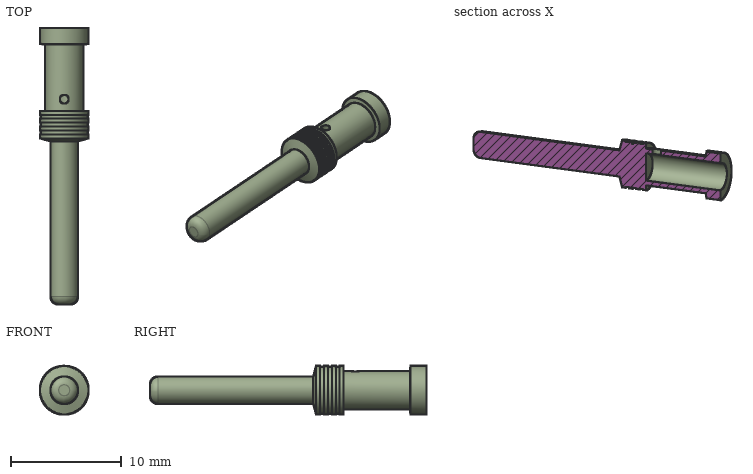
import cadquery as cq

length = 25.0
rear_y = length / 2
tip_y = -length / 2

flange_radius = 4.42 / 2
barrel_radius = 1.75
pin_radius = 1.25
tip_round = 0.75

head_length = 1.45
head_face_slope = 0.08

collar_start = 7.5
collar_straight_end = 9.98
collar_end = 10.25

groove_count = 3
band_width = (collar_straight_end - collar_start) / (2 * groove_count + 1)
groove_depth = 0.08

hole_diameter = 0.8
hole_distance = 6.45
bore_radius = 1.25
bore_depth = 7.5


def turned_body():
    """Revolve the half outline of the contact about the Y axis."""
    profile = (
        cq.Workplane("XY")
        .moveTo(0, rear_y)
        .lineTo(flange_radius, rear_y)
        .lineTo(flange_radius, rear_y - head_length)
        .lineTo(barrel_radius, rear_y - head_length - head_face_slope)
        .lineTo(barrel_radius, rear_y - collar_start)
        .lineTo(flange_radius, rear_y - collar_start)
    )
    for index in range(groove_count):
        groove_start = rear_y - collar_start - (2 * index + 1) * band_width
        groove_end = groove_start - band_width
        profile = (
            profile.lineTo(flange_radius, groove_start)
            .lineTo(flange_radius - groove_depth, groove_start)
            .lineTo(flange_radius - groove_depth, groove_end)
            .lineTo(flange_radius, groove_end)
        )
    profile = (
        profile.lineTo(flange_radius, rear_y - collar_straight_end)
        .lineTo(pin_radius, rear_y - collar_end)
        .lineTo(pin_radius, tip_y)
        .lineTo(0, tip_y)
        .close()
    )
    body = profile.revolve(360, (0, 0, 0), (0, 1, 0))
    return body.faces("<Y").edges().fillet(tip_round)


def wire_bore():
    """Blind bore entering from the rear end."""
    return (
        cq.Workplane("XZ", origin=(0, rear_y, 0))
        .circle(bore_radius)
        .extrude(bore_depth)
    )


def inspection_hole():
    """Radial hole through the upper barrel wall, ending in the bore."""
    return (
        cq.Workplane("XY")
        .center(0, rear_y - hole_distance)
        .circle(hole_diameter / 2)
        .extrude(flange_radius)
    )


result = turned_body().cut(wire_bore()).cut(inspection_hole())